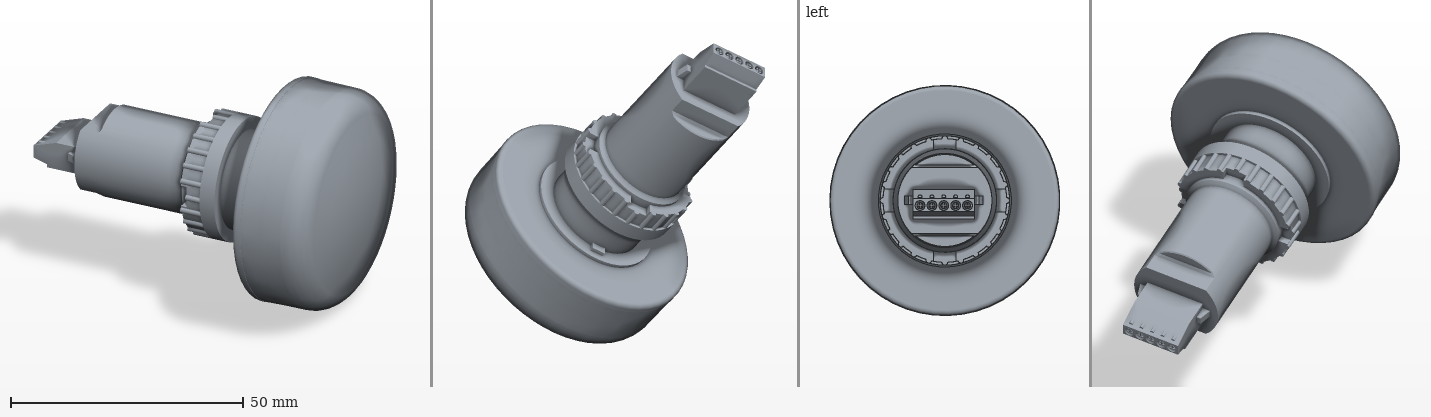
import cadquery as cq
import math


head_start = 56.65
bezel_end = 58.75
bezel_radius = 24.8
bezel_rounding = 1.1
cap_base_radius = 24.7
cap_radius = 24.5
shoulder_start = 68.35
shoulder_end = 74.15
shoulder_mid = (72.45, 22.8)
dome_rim_radius = 19.65
dome_tip = 77.4

collar_start = 55.8
collar_radius = 14.3
key_start = 54.9
key_width = 3.1
key_reach = 12.7

body_start = 11.7
body_radius = 10.15
cone_start = 37.15
cone_end = 38.0
neck_radius = 11.15

flat_height = 7.1
flat_end = 16.2
flat_corner_chamfer = 0.55
flat_rim_chamfer = 0.2

nut_start = 38.8
knurl_end = 43.65
nut_end = 47.2
nut_radius = 13.9
knurl_root_radius = 13.3
tooth_count = 24
tooth_radius = nut_radius - knurl_root_radius
slot_width = 4.9
slot_floor = 40.2

connector_y = 0.2
connector_width = 13.3
connector_top = 2.3
connector_bottom = -4.0
tip_top = 0.5
tip_bottom = -2.4
top_slope_end = 5.5
bottom_slope_end = 3.3
bottom_slope_z = -3.3

latch_start = 8.8
latch_top = 0.9
latch_bottom = -0.85
latch_tip_reach = 7.6
latch_root_reach = 8.4

terminal_count = 5
terminal_pitch = 2.55
hole_z = -1.1
hole_radius = 1.045
hole_depth = 1.15
screw_radius = 0.66
screw_recess = 0.15
screw_slot_width = 0.3
screw_slot_depth = 0.4
pin_radius = 0.425
pin_z = 0.8
pin_start = 0.7

overlap = 0.8


def disc(x_start, x_end, radius):
    """Cylinder on the X axis."""
    return cq.Workplane("YZ").workplane(offset=x_start).circle(radius).extrude(x_end - x_start)


def rod(x_start, x_end, radius, y, z):
    """Cylinder parallel to X at the given y and z."""
    return disc(x_start, x_end, radius).translate((0, y, z))


def block(x_start, x_end, y_start, y_end, z_start, z_end):
    """Box given by its limits."""
    size = (x_end - x_start, y_end - y_start, z_end - z_start)
    return cq.Workplane("XY").box(*size, centered=False).translate((x_start, y_start, z_start))


def make_head():
    bezel = disc(head_start, bezel_end, bezel_radius).faces("<X").edges().fillet(bezel_rounding)
    dome_rise = dome_tip - shoulder_end
    dome_radius = (dome_rim_radius**2 + dome_rise**2) / (2 * dome_rise)
    half_rim = dome_rim_radius / 2
    dome_mid_x = dome_tip - dome_radius + math.sqrt(dome_radius**2 - half_rim**2)
    cap = (
        cq.Workplane("XY")
        .moveTo(bezel_end - overlap, 0)
        .lineTo(bezel_end - overlap, cap_base_radius)
        .lineTo(shoulder_start, cap_radius)
        .threePointArc(shoulder_mid, (shoulder_end, dome_rim_radius))
        .threePointArc((dome_mid_x, half_rim), (dome_tip, 0))
        .close()
        .revolve(360, (0, 0, 0), (1, 0, 0))
    )
    return bezel.union(cap)


def make_tube():
    tube = (
        cq.Workplane("XY")
        .moveTo(body_start, 0)
        .lineTo(body_start, body_radius)
        .lineTo(cone_start, body_radius)
        .lineTo(cone_end, neck_radius)
        .lineTo(head_start + overlap, neck_radius)
        .lineTo(head_start + overlap, 0)
        .close()
        .revolve(360, (0, 0, 0), (1, 0, 0))
    )
    flat_cut = (
        cq.Workplane("XZ")
        .moveTo(body_start - overlap, flat_height)
        .lineTo(flat_end - flat_corner_chamfer, flat_height)
        .lineTo(flat_end, flat_height + flat_corner_chamfer)
        .lineTo(flat_end, body_radius + overlap)
        .lineTo(body_start - overlap, body_radius + overlap)
        .close()
        .extrude(body_radius, both=True)
    )
    tube = tube.cut(flat_cut).cut(flat_cut.mirror("XY"))
    shoulder_rims = tube.faces(cq.selectors.BoxSelector(
        (flat_end - flat_rim_chamfer, -body_radius, -body_radius),
        (flat_end + flat_rim_chamfer, body_radius, body_radius),
    )).edges("%CIRCLE")
    return shoulder_rims.chamfer(flat_rim_chamfer)


def make_collar():
    collar = disc(collar_start, head_start + overlap, collar_radius)
    key = block(
        key_start, collar_start + overlap,
        -key_width / 2, key_width / 2,
        -key_reach, overlap - neck_radius,
    )
    return collar.union(key)


def make_nut():
    nut = disc(knurl_end, nut_end, nut_radius).union(disc(nut_start, knurl_end, knurl_root_radius))
    for index in range(tooth_count):
        angle = 2 * math.pi * index / tooth_count
        tooth_y = knurl_root_radius * math.cos(angle)
        tooth_z = knurl_root_radius * math.sin(angle)
        nut = nut.union(rod(nut_start, knurl_end, tooth_radius, tooth_y, tooth_z))
    reach = nut_radius + overlap
    half_slot = slot_width / 2
    nut = nut.cut(block(nut_start, slot_floor, -reach, reach, -half_slot, half_slot))
    return nut.cut(block(nut_start, slot_floor, -half_slot, half_slot, -reach, reach))


def make_connector():
    """Connector centred on y = 0."""
    root = body_start + overlap
    connector = (
        cq.Workplane("XZ")
        .moveTo(0, tip_bottom)
        .lineTo(0, tip_top)
        .lineTo(top_slope_end, connector_top)
        .lineTo(root, connector_top)
        .lineTo(root, connector_bottom)
        .lineTo(bottom_slope_end, connector_bottom)
        .lineTo(bottom_slope_end, bottom_slope_z)
        .close()
        .extrude(connector_width / 2, both=True)
    )
    latches = (
        cq.Workplane("XY")
        .workplane(offset=latch_bottom)
        .moveTo(latch_start, -latch_tip_reach)
        .lineTo(latch_start, latch_tip_reach)
        .lineTo(body_start, latch_root_reach)
        .lineTo(body_start, -latch_root_reach)
        .close()
        .extrude(latch_top - latch_bottom)
    )
    connector = connector.union(latches)
    for index in range(terminal_count):
        y = (index - (terminal_count - 1) / 2) * terminal_pitch
        connector = connector.cut(rod(0, hole_depth, hole_radius, y, hole_z))
        connector = connector.union(make_screw().translate((0, y, hole_z)))
        connector = connector.union(rod(pin_start, top_slope_end, pin_radius, y, pin_z))
    return connector


def make_screw():
    """Cross-slotted screw head standing on the floor of a terminal hole."""
    screw = disc(screw_recess, hole_depth + overlap, screw_radius)
    half_slot = screw_slot_width / 2
    slot_end = screw_recess + screw_slot_depth
    slot = block(screw_recess, slot_end, -screw_radius, screw_radius, -half_slot, half_slot)
    return screw.cut(slot).cut(slot.rotate((0, 0, 0), (1, 0, 0), 90))


result = (
    make_tube()
    .union(make_head())
    .union(make_collar())
    .union(make_nut())
    .union(make_connector().translate((0, connector_y, 0)))
)